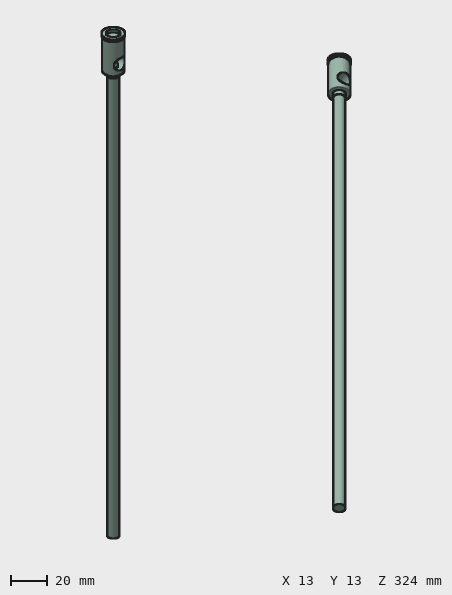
import cadquery as cq

total_length = 324.0

rim_diameter = 13.0
rim_height = 1.0

groove_diameter = 12.0
groove_height = 1.0

head_diameter = 12.4
head_length = 24.0
head_edge_radius = 0.2

neck_diameter = 7.2
neck_length = 3.0
rod_diameter = 6.8

recess_diameter = 7.9
recess_depth = 2.0

cross_hole_diameter = 8.0
cross_hole_depth = 17.0
socket_diameter = 5.2

head_top = -(rim_height + groove_height)
head_bottom = -head_length
neck_bottom = head_bottom - neck_length
rod_bottom = -total_length


def cylinder(diameter, top, bottom):
    """Vertical cylinder on the part axis between two heights."""
    return cq.Workplane("XY").workplane(offset=top).circle(diameter / 2).extrude(bottom - top)


def make_head():
    """Grooved head: a rim, a shallow groove and a barrel with rounded ends."""
    barrel = cylinder(head_diameter, head_top, head_bottom)
    barrel = barrel.faces("<Z or >Z").edges().fillet(head_edge_radius)
    rim = cylinder(rim_diameter, 0, -rim_height)
    groove_core = cylinder(groove_diameter, 0, -head_length / 2)
    return barrel.union(rim).union(groove_core)


def make_shaft():
    """Long rod with a slightly thicker neck below the head."""
    neck = cylinder(neck_diameter, -head_length / 2, neck_bottom)
    rod = cylinder(rod_diameter, neck_bottom, rod_bottom)
    return neck.union(rod)


def make_cross_hole():
    """Round hole through the head along X."""
    return (
        cq.Workplane("YZ")
        .center(0, -cross_hole_depth)
        .circle(cross_hole_diameter / 2)
        .extrude(rim_diameter, both=True)
    )


recess = cylinder(recess_diameter, 0, -recess_depth)

socket = cylinder(socket_diameter, -cross_hole_depth, head_bottom)

result = make_head().union(make_shaft())
result = result.cut(recess).cut(make_cross_hole()).cut(socket)

result = result.rotate((0, 0, 0), (0, 0, 1), 180)